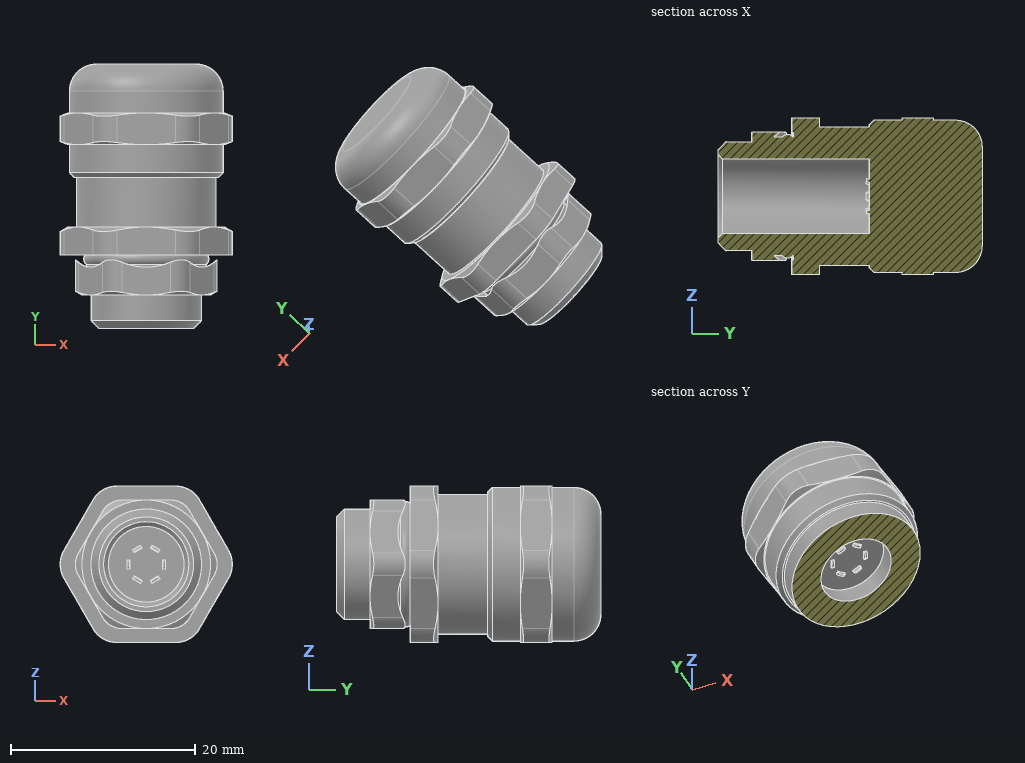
import cadquery as cq
import math

total_length = 28.7

thread_diameter = 12.0
thread_chamfer = 0.85

small_hex_start = 3.65
small_hex_flats = 13.95
small_hex_rounding = 2.4
small_hex_corner_end = 7.46
dish_drop = 0.8

neck_diameter = 13.0
ring_start = 6.95
ring_bulge_center = 7.55
ring_outer_diameter = 13.6
ring_end = 2 * ring_bulge_center - ring_start
ring_recess_diameter = 13.9

large_hex_flats = 17.0
large_hex_rounding = 3.01
body_hex_start = 7.98
body_hex_end = 11.02
cap_hex_start = 19.95
cap_hex_end = 23.4
hex_chamfer_angle = 30.0
cap_hex_chamfer_angle = 22.0

barrel_diameter = 15.2
cap_start = 16.4
cap_diameter = 16.7
cap_chamfer = 0.52
dome_radius = 2.95

bore_diameter = 8.2
bore_chamfer = 0.52
bore_depth = cap_start
fin_count = 6
fin_inner_radius = 1.75
fin_crest_radius = 1.8
fin_outer_radius = 2.1
fin_length = 0.98
fin_crest_height = 0.35
fin_outer_height = 0.25
fin_end_rounding = 0.25


def cylinder(diameter, start, end):
    """Cylinder along Y between two positions."""
    return cq.Workplane("XZ", origin=(0, start, 0)).circle(diameter / 2).extrude(start - end)


def revolve(points):
    """Solid of revolution about Y from (radius, Y) points."""
    return cq.Workplane("XY").polyline(points).close().revolve(360, (0, 0), (0, 1))


def hex_corner_radius(flats, rounding):
    """Distance from the axis to the crown of a rounded hexagon corner."""
    sharp_per_flat = 1 / math.cos(math.pi / 6)
    return flats / 2 * sharp_per_flat - rounding * (sharp_per_flat - 1)


def hex_prism(flats, rounding, start, end):
    """Hexagonal prism along Y with rounded corners and flats facing +Z and -Z."""
    sharp_diameter = flats / math.cos(math.pi / 6)
    prism = cq.Workplane("XZ", origin=(0, start, 0)).polygon(6, sharp_diameter).extrude(start - end)
    return prism.edges("|Y").fillet(rounding)


def chamfered_hex(flats, rounding, start, end, start_angle, end_angle):
    """Rounded hexagon whose corners are turned down by a cone at each end (0 leaves a flat end)."""
    flat_radius = flats / 2
    corner_radius = hex_corner_radius(flats, rounding)
    depth = corner_radius - flat_radius
    envelope = revolve([
        (0, start),
        (flat_radius, start),
        (corner_radius, start + depth * math.tan(math.radians(start_angle))),
        (corner_radius, end - depth * math.tan(math.radians(end_angle))),
        (flat_radius, end),
        (0, end),
    ])
    return hex_prism(flats, rounding, start, end).intersect(envelope)


def dished_hex():
    """Small hexagon with a chamfered front and a conical dish around the neck."""
    flat_radius = small_hex_flats / 2
    neck_radius = neck_diameter / 2
    corner_radius = hex_corner_radius(small_hex_flats, small_hex_rounding)
    slope = dish_drop / (corner_radius - flat_radius)
    dish_bottom = small_hex_corner_end - slope * (corner_radius - neck_radius)
    dish = revolve([
        (neck_radius, dish_bottom),
        (corner_radius, small_hex_corner_end),
        (neck_radius, small_hex_corner_end),
    ])
    blank = chamfered_hex(small_hex_flats, small_hex_rounding,
                          small_hex_start, small_hex_corner_end, hex_chamfer_angle, 0)
    return blank.cut(dish)


def sealing_ring():
    """Ring around the neck with an outer side bulging as an arc."""
    neck_radius = neck_diameter / 2
    return (
        cq.Workplane("XY")
        .moveTo(0, ring_start)
        .lineTo(neck_radius, ring_start)
        .threePointArc((ring_outer_diameter / 2, ring_bulge_center), (neck_radius, ring_end))
        .lineTo(0, ring_end)
        .close()
        .revolve(360, (0, 0), (0, 1))
    )


def cap():
    """Domed cap with its gripping hexagon."""
    dome = cylinder(cap_diameter, cap_start, total_length)
    dome = dome.faces(">Y").edges().fillet(dome_radius)
    dome = dome.faces("<Y").edges().chamfer(cap_chamfer)
    grip = chamfered_hex(large_hex_flats, large_hex_rounding, cap_hex_start, cap_hex_end,
                         cap_hex_chamfer_angle, cap_hex_chamfer_angle)
    return dome.union(grip)


def fin():
    """Fin on the bore floor, highest near its inner side and rounded at both ends."""
    profile = [
        (fin_inner_radius, bore_depth),
        (fin_crest_radius, bore_depth - fin_crest_height),
        (fin_outer_radius, bore_depth - fin_outer_height),
        (fin_outer_radius, bore_depth),
    ]
    blade = cq.Workplane("XY").polyline(profile).close().extrude(fin_length / 2, both=True)
    crown_radius = (fin_crest_radius + fin_outer_radius) / 2
    crown_position = bore_depth - (fin_crest_height + fin_outer_height) / 2
    for side in (-1, 1):
        crown_end = (crown_radius, crown_position, side * fin_length / 2)
        blade = blade.edges(cq.NearestToPointSelector(crown_end)).fillet(fin_end_rounding)
    return blade


thread = cylinder(thread_diameter, 0, small_hex_start).faces("<Y").edges().chamfer(thread_chamfer)
neck = cylinder(neck_diameter, small_hex_start, ring_end)
body_hex = chamfered_hex(large_hex_flats, large_hex_rounding, body_hex_start, body_hex_end,
                         0, hex_chamfer_angle)
body_hex = body_hex.cut(cylinder(ring_recess_diameter, body_hex_start, ring_end))
barrel = cylinder(barrel_diameter, body_hex_end, cap_start)

result = thread.union(dished_hex()).union(neck).union(sealing_ring())
result = result.union(body_hex).union(barrel).union(cap())

bore = cylinder(bore_diameter, 0, bore_depth)
bore_mouth = revolve([
    (0, 0),
    (bore_diameter / 2 + bore_chamfer, 0),
    (bore_diameter / 2, bore_chamfer),
    (0, bore_chamfer),
])
result = result.cut(bore).cut(bore_mouth)

for index in range(fin_count):
    angle = index * 360 / fin_count
    result = result.union(fin().rotate((0, 0, 0), (0, 1, 0), angle))